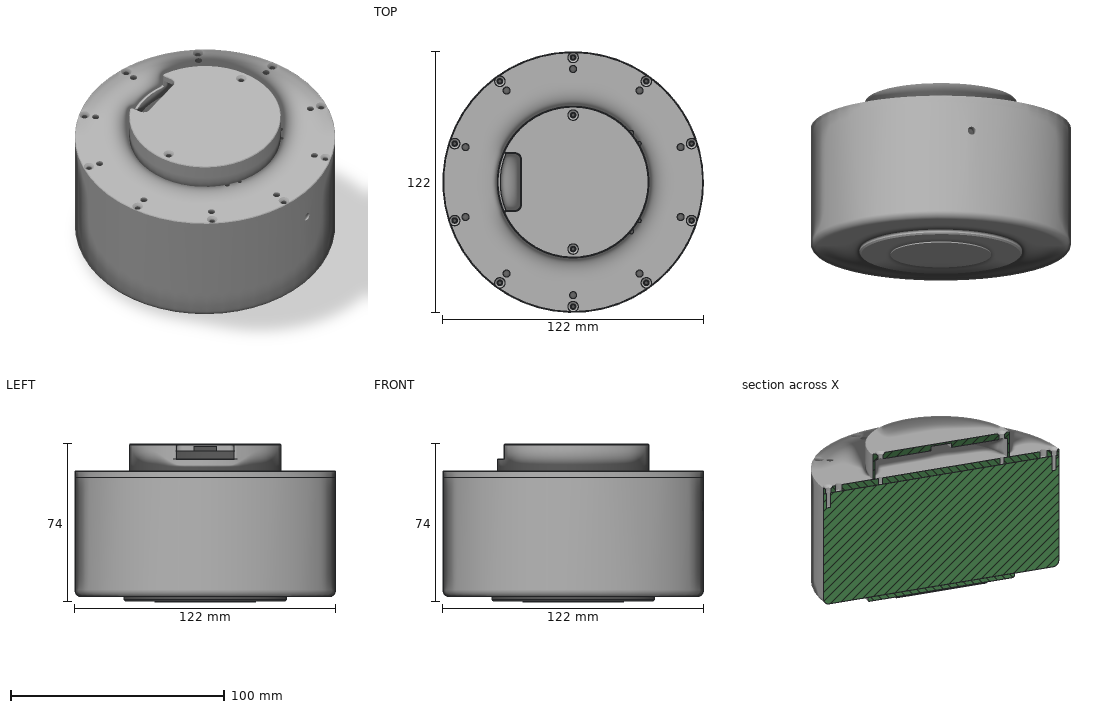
import cadquery as cq
import math

total_height = 74.0
disc_thickness = 0.5
flange_bottom = disc_thickness
housing_bottom = 2.6
plate_thickness = 3.2
cap_height = 12.6
plate_top = total_height - cap_height
plate_bottom = plate_top - plate_thickness

body_radius = 61.0
cap_radius = 35.5
flange_radius = 38.1
disc_radius = 23.5

small_chamfer = 0.4
flange_chamfer = 0.7
housing_fillet = 3.0

screw_head_diameter = 4.9
screw_clearance_diameter = 2.6
screw_thread_diameter = 1.8
screw_angle = 90.0
housing_thread_depth = 7.3

rim_count = 10
rim_start_angle = 18.0
rim_screw_radius = 58.3
rim_hole_radius = 53.0
rim_hole_diameter = 3.3

plate_hole_x_outer = 31.0
plate_hole_y_outer = 18.0
plate_hole_d_outer = 1.8
plate_hole_x_inner = 27.2
plate_hole_y_inner = 23.0
plate_hole_d_inner = 2.3
under_cap_hole_x = -18.2
under_cap_hole_y = 17.9
under_cap_hole_d = 1.7

cap_wall = 1.3
cap_roof = 3.3
cap_screw_radius = 31.4
window_half_width = 13.4
window_inner_x = -24.5
window_depth = 7.0
window_corner_radius = 2.9
window_mouth_fillet = 1.0
channel_half_width = 5.2
channel_depth = 2.2
channel_end_radius = 33.9

side_hole_diameter = 3.8
side_hole_y = -6.1
side_hole_z = 44.9
side_hole_depth = 3.7


def disk(radius, bottom, top):
    """Plain cylinder about the Z axis."""
    return cq.Workplane("XY").workplane(offset=bottom).circle(radius).extrude(top - bottom)


def ring_points(radius, count, start_angle):
    """Evenly spaced points on a circle about the Z axis."""
    angles = [math.radians(start_angle + i * 360.0 / count) for i in range(count)]
    return [(radius * math.cos(a), radius * math.sin(a)) for a in angles]


def drill(body, points, diameter, top, depth):
    """Cut round holes downwards from the height top."""
    tools = cq.Workplane("XY").workplane(offset=top).pushPoints(points).circle(diameter / 2).extrude(-depth)
    return body.cut(tools)


rim_screw_points = ring_points(rim_screw_radius, rim_count, rim_start_angle)
rim_hole_points = ring_points(rim_hole_radius, rim_count, rim_start_angle)
cap_screw_points = [(0, cap_screw_radius), (0, -cap_screw_radius)]


def make_housing():
    housing = disk(body_radius, housing_bottom, plate_bottom)
    housing = housing.faces("<Z").edges().fillet(housing_fillet)
    housing = drill(housing, rim_screw_points, screw_thread_diameter, plate_bottom, housing_thread_depth)
    side_hole = (
        cq.Workplane("YZ", origin=(body_radius, side_hole_y, side_hole_z))
        .circle(side_hole_diameter / 2)
        .extrude(-side_hole_depth)
    )
    return housing.cut(side_hole)


def make_plate():
    plate = disk(body_radius, plate_bottom, plate_top)
    plate = plate.faces(">Z").edges().chamfer(small_chamfer)
    plate = (
        plate.faces(">Z").workplane(origin=(0, 0, plate_top)).pushPoints(rim_screw_points)
        .cskHole(screw_clearance_diameter, screw_head_diameter, screw_angle)
    )
    plate = drill(plate, rim_hole_points, rim_hole_diameter, plate_top, plate_thickness)
    plate = drill(plate, cap_screw_points, screw_thread_diameter, plate_top, plate_thickness)

    outer_pair = [(plate_hole_x_outer, side * plate_hole_y_outer) for side in (1, -1)]
    plate = drill(plate, outer_pair, plate_hole_d_outer, plate_top, plate_thickness)
    inner_pair = [(plate_hole_x_inner, side * plate_hole_y_inner) for side in (1, -1)]
    plate = drill(plate, inner_pair, plate_hole_d_inner, plate_top, plate_thickness)
    under_cap = [(under_cap_hole_x, under_cap_hole_y)]
    return drill(plate, under_cap, under_cap_hole_d, plate_top, plate_thickness)


def make_window_tool(window_bottom):
    """Rounded block that opens through the -X side of the cap."""
    length = cap_radius + window_inner_x
    return (
        cq.Workplane("XY", origin=(window_inner_x - length / 2, 0, window_bottom))
        .rect(length, 2 * window_half_width)
        .extrude(window_depth)
        .edges("|Z and >X")
        .fillet(window_corner_radius)
    )


def make_channel(roof_bottom):
    """Shallow channel under the roof, running from the window to a curved end near the far wall."""
    length = channel_end_radius - window_inner_x
    strip = (
        cq.Workplane("XY", origin=(window_inner_x + length / 2, 0, roof_bottom))
        .rect(length, 2 * channel_half_width)
        .extrude(channel_depth)
    )
    return strip.intersect(disk(channel_end_radius, roof_bottom, roof_bottom + channel_depth))


def make_cap():
    roof_bottom = total_height - cap_roof
    window_bottom = total_height - window_depth

    upper = disk(cap_radius, window_bottom, total_height).cut(make_window_tool(window_bottom))
    upper = upper.edges("|Z and <X").fillet(window_mouth_fillet)
    upper = upper.faces(">Z").edges().chamfer(small_chamfer)

    lower = disk(cap_radius, plate_top, window_bottom)
    chamfered_lower = lower.faces(">Z").edges().chamfer(small_chamfer)
    window_strip = (
        cq.Workplane("XY", origin=(-cap_radius / 2, 0, plate_top))
        .rect(cap_radius, 2 * window_half_width)
        .extrude(cap_height)
    )
    lower = lower.cut(window_strip).union(chamfered_lower.intersect(window_strip))

    cap = upper.union(lower)
    cap = cap.cut(disk(cap_radius - cap_wall, plate_top, roof_bottom))
    cap = cap.cut(make_channel(roof_bottom))
    return (
        cap.faces(">Z").workplane(origin=(0, 0, total_height)).pushPoints(cap_screw_points)
        .cskHole(screw_clearance_diameter, screw_head_diameter, screw_angle)
    )


def make_flange():
    flange = disk(flange_radius, flange_bottom, housing_bottom)
    return flange.faces("<Z").edges().chamfer(flange_chamfer)


def make_disc():
    return disk(disc_radius, 0, disc_thickness)


housing = make_housing()
plate = make_plate()
cap = make_cap()
flange = make_flange()
disc = make_disc()

result = cq.Compound.makeCompound([housing.val(), plate.val(), cap.val(), flange.val(), disc.val()])